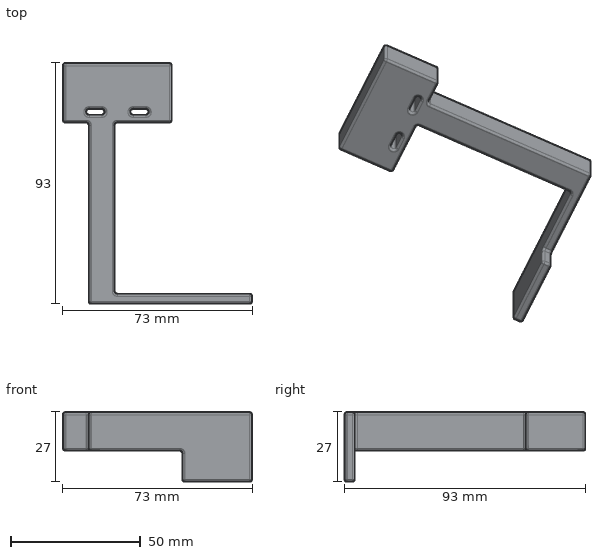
import cadquery as cq

overall_width = 73.0
overall_depth = 93.0
overall_height = 27.0

bracket_height = 15.0
block_width = 42.0
block_depth = 23.1
arm_width = 10.0
arm_offset = 9.95
foot_thickness = 4.0

plate_width = 27.0
plate_drop = overall_height - bracket_height

slot_width = 2.1
slot_length = 7.0
slot_count = 2
slot_spacing = 17.0
slot_setback = 4.2

edge_radius = 1.0

arm_left = arm_offset
arm_right = arm_left + arm_width
foot_right = overall_width
block_front = overall_depth - block_depth
slot_y = block_front + slot_setback


def bracket_body():
    """Block, arm and foot as one flat outline of constant height."""
    outline = [
        (0, overall_depth),
        (0, block_front),
        (arm_left, block_front),
        (arm_left, 0),
        (foot_right, 0),
        (foot_right, foot_thickness),
        (arm_right, foot_thickness),
        (arm_right, block_front),
        (block_width, block_front),
        (block_width, overall_depth),
    ]
    return cq.Workplane("XY").polyline(outline).close().extrude(bracket_height)


def end_plate():
    """Full-height plate at the end of the foot, flush with its faces."""
    return (
        cq.Workplane("XY", origin=(foot_right - plate_width, 0, -plate_drop))
        .box(plate_width, foot_thickness, overall_height, centered=False)
    )


def slot_cutters():
    """Both slots, running through the full height of the block."""
    return (
        cq.Workplane("XY", origin=(block_width / 2, slot_y, 0))
        .rarray(slot_spacing, slot_spacing, slot_count, 1)
        .slot2D(slot_length, slot_width)
        .extrude(bracket_height)
    )


rounded_bracket = bracket_body().union(end_plate()).clean().edges().fillet(edge_radius)

slotted_bracket = rounded_bracket.cut(slot_cutters())

slot_row_center = cq.Vector(block_width / 2, slot_y, bracket_height / 2)
slot_row_reach = cq.Vector(slot_spacing / 2 + slot_length, slot_width, bracket_height)
slot_row = cq.selectors.BoxSelector(
    (slot_row_center - slot_row_reach).toTuple(),
    (slot_row_center + slot_row_reach).toTuple(),
)
result = slotted_bracket.edges(slot_row).edges("not |Z").fillet(edge_radius)